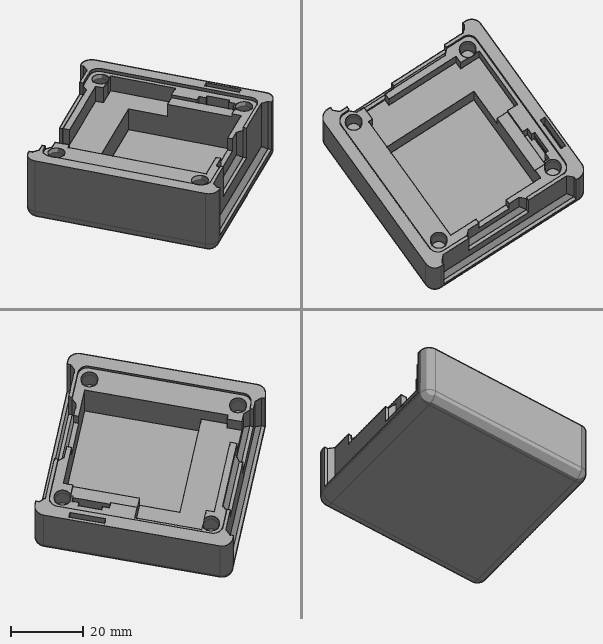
import cadquery as cq

LENGTH_X = 56
WIDTH_Y = 52.35
HEIGHT = 20.0
CORNER_RADIUS = 3.0
BOTTOM_RADIUS = 3.0

LID_DEPTH = 1.0
LID_WIDTH = 45.3
LID_CORNER_RADIUS = 2.7
LID_FLOOR = HEIGHT - LID_DEPTH

HOLE_PITCH_X = 42.05
HOLE_PITCH_Y = 38.25
HOLE_MOUTH_RADIUS = 2.35
HOLE_RADIUS = 2.1
HOLE_MOUTH_DEPTH = 1.25
HOLE_DEPTH = 6.7

BORDER = 1.45
SLOPE_ANGLE = 45
EDGE_DEPTH = 1.0
RECESS_DEPTH = EDGE_DEPTH + BORDER

LID_LENGTH = LENGTH_X - 2 * (RECESS_DEPTH + EDGE_DEPTH)

OUTER_HALF_WIDTH = 22.2
OUTER_BOTTOM = 4.05
OPEN_TOP = HEIGHT + 2 * BORDER
STEP_BACK = 14.35
STEP_MIDDLE = -3.3
STEP_FRONT = -18.25
STEP_HIGH = 16.0
STEP_LOW = 9.95
WINDOW_BACK = 7.9
WINDOW_FRONT = -12.1

CAVITY_FLOOR = 7.05
SHELF_FLOOR = 14
LEDGE_FLOOR = 18.05
END_NOTCH_FLOOR = 14.95

CAVITY_LEFT = -11.3
CAVITY_RIGHT = 21.7
CAVITY_FRONT = -15.55
CAVITY_BACK = 14.6
SHELF_LEFT = -18.9
SHELF_BACK = 21.5
SHELF_RIGHT = 0.1
BAY_LEFT = -21.15
BAY_BACK = 15.3
CABLE_BACK = -7.2
CABLE_FRONT = -14.3
LEDGE_RIGHT = 19.0
LEDGE_BACK = 18.1
END_NOTCH_BACK = 3.0
END_NOTCH_FRONT = -7.05
END_WALL_INNER = LENGTH_X / 2 - 2 * RECESS_DEPTH

CONNECTOR_LEFT = 7.6
CONNECTOR_RIGHT = 18.2
CONNECTOR_BACK = 19.75
PLUG_LEFT = 9.65
PLUG_RIGHT = 16.25
PLUG_BACK = 20.8

PLUG_STEP = 0.1
PLUG_STEP_HEIGHT = 15.7

SLOT_LEFT = 7.85
SLOT_RIGHT = 18.0
SLOT_FRONT = 23.9
SLOT_BACK = 25.45


def box_between(x_min, x_max, y_min, y_max, floor):
    """Upright block from the given floor to the top of the body."""
    size = (x_max - x_min, y_max - y_min, HEIGHT - floor)
    return cq.Workplane("XY").box(*size, centered=False).translate((x_min, y_min, floor))


def sloped_recess(outline, face_x):
    """Recess going towards +X from face_x, narrowing over its last stretch."""
    edge = cq.Workplane("YZ", origin=(face_x, 0, 0)).polyline(outline).close().extrude(EDGE_DEPTH)
    slope = (
        cq.Workplane("YZ", origin=(face_x + EDGE_DEPTH, 0, 0))
        .polyline(outline)
        .close()
        .extrude(BORDER, taper=SLOPE_ANGLE)
    )
    return edge.union(slope)


def open_rectangle(y_front, y_back, bottom):
    """Rectangle in the YZ plane that runs out through the top."""
    return [(y_front, bottom), (y_back, bottom), (y_back, OPEN_TOP), (y_front, OPEN_TOP)]


def make_body():
    return (
        cq.Workplane("XY")
        .box(LENGTH_X, WIDTH_Y, HEIGHT, centered=(True, True, False))
        .edges("|Z")
        .fillet(CORNER_RADIUS)
        .faces("<Z")
        .edges()
        .fillet(BOTTOM_RADIUS)
    )


def make_lid_recess():
    return (
        cq.Workplane("XY", origin=(0, 0, LID_FLOOR))
        .rect(LID_LENGTH, LID_WIDTH)
        .extrude(LID_DEPTH)
        .edges("|Z")
        .fillet(LID_CORNER_RADIUS)
    )


def make_screw_holes():
    profile = [
        (0, LID_FLOOR),
        (HOLE_MOUTH_RADIUS, LID_FLOOR),
        (HOLE_RADIUS, LID_FLOOR - HOLE_MOUTH_DEPTH),
        (HOLE_RADIUS, LID_FLOOR - HOLE_DEPTH),
        (0, LID_FLOOR - HOLE_DEPTH),
    ]
    hole = cq.Workplane("XZ").polyline(profile).close().revolve(360, (0, 0), (0, 1)).val()
    return (
        cq.Workplane("XY")
        .rect(HOLE_PITCH_X, HOLE_PITCH_Y, forConstruction=True)
        .vertices()
        .eachpoint(lambda place: hole.moved(place), combine="a")
    )


def make_end_recesses():
    outer_face = -LENGTH_X / 2
    inner_face = outer_face + RECESS_DEPTH
    outer_outline = open_rectangle(-OUTER_HALF_WIDTH, OUTER_HALF_WIDTH, OUTER_BOTTOM)
    high_outline = open_rectangle(STEP_FRONT, STEP_BACK, STEP_HIGH)
    low_outline = open_rectangle(STEP_FRONT, STEP_MIDDLE, STEP_LOW)
    window_outline = open_rectangle(WINDOW_FRONT, WINDOW_BACK, STEP_LOW)

    outer = sloped_recess(outer_outline, outer_face)
    high_step = sloped_recess(high_outline, inner_face)
    low_step = sloped_recess(low_outline, inner_face)
    window = sloped_recess(window_outline, inner_face)
    left = outer.union(high_step).union(low_step)
    right = outer.union(window).mirror("YZ")
    return left.union(right)


def make_interior():
    cavity = box_between(CAVITY_LEFT, CAVITY_RIGHT, CAVITY_FRONT, CAVITY_BACK, CAVITY_FLOOR)
    shelf = box_between(SHELF_LEFT, SHELF_RIGHT, CAVITY_FRONT, SHELF_BACK, SHELF_FLOOR)
    bay = box_between(BAY_LEFT, SHELF_LEFT, CABLE_FRONT, BAY_BACK, SHELF_FLOOR)
    cable_gap = box_between(-END_WALL_INNER, BAY_LEFT, CABLE_FRONT, CABLE_BACK, SHELF_FLOOR)
    ledge = box_between(SHELF_RIGHT, LEDGE_RIGHT, CAVITY_BACK, LEDGE_BACK, LEDGE_FLOOR)
    end_notch = box_between(
        CAVITY_RIGHT, END_WALL_INNER, END_NOTCH_FRONT, END_NOTCH_BACK, END_NOTCH_FLOOR
    )
    return cavity.union(shelf).union(bay).union(cable_gap).union(ledge).union(end_notch)


def make_connector_pocket():
    socket = box_between(CONNECTOR_LEFT, CONNECTOR_RIGHT, LEDGE_BACK, CONNECTOR_BACK, SHELF_FLOOR)
    plug = box_between(PLUG_LEFT, PLUG_RIGHT, CONNECTOR_BACK, PLUG_BACK - PLUG_STEP, SHELF_FLOOR)
    plug_mouth = box_between(PLUG_LEFT, PLUG_RIGHT, CONNECTOR_BACK, PLUG_BACK, PLUG_STEP_HEIGHT)
    return socket.union(plug).union(plug_mouth)


def make_rim_slot():
    return box_between(SLOT_LEFT, SLOT_RIGHT, SLOT_FRONT, SLOT_BACK, SHELF_FLOOR)


result = (
    make_body()
    .cut(make_lid_recess())
    .cut(make_end_recesses())
    .cut(make_interior())
    .cut(make_connector_pocket())
    .cut(make_rim_slot())
    .cut(make_screw_holes())
)